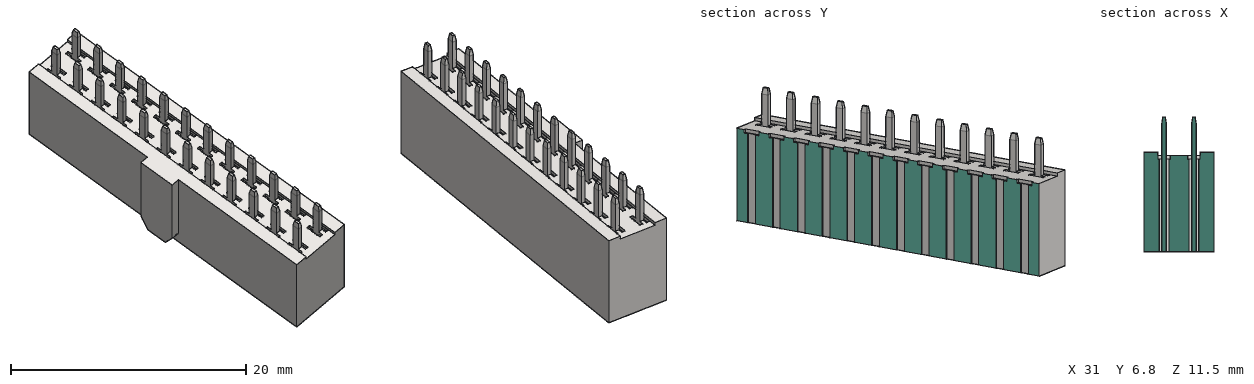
import cadquery as cq

length = 30.98
total_depth = 6.8
total_height = 11.5

housing_depth = 5.98
housing_height = 8.5
channel_width = 3.6
channel_depth = 0.28
channel_floor = housing_height - channel_depth

key_width = 3.62
key_tip_width = 2.05
key_taper_height = 1.2
key_projection = total_depth - housing_depth

pins_per_row = 12
row_count = 2
pitch = 2.55
pin_width = 0.65
pin_thickness = 0.4
pin_tip_width = 0.45
pin_tip_thickness = 0.22
pin_tip_height = 0.55

slot_length = 1.5
slot_depth = 0.3
slot_pair_span = 1.02
slot_width = (slot_pair_span - pin_thickness) / 2
through_length = 0.75
through_width = 0.2


def make_housing():
    """Block with a full-length channel along its top; bottom on Z = 0."""
    block = cq.Workplane("XY").box(length, housing_depth, housing_height, centered=(True, True, False))
    channel = (
        cq.Workplane("XY", origin=(0, 0, channel_floor))
        .box(length, channel_width, channel_depth, centered=(True, True, False))
    )
    return block.cut(channel)


def make_key():
    """Vertical rib whose lower end narrows towards the bottom."""
    half_width = key_width / 2
    half_tip = key_tip_width / 2
    outline = [
        (-half_tip, 0),
        (half_tip, 0),
        (half_width, key_taper_height),
        (half_width, housing_height),
        (-half_width, housing_height),
        (-half_width, key_taper_height),
    ]
    return (
        cq.Workplane("XZ", origin=(0, -housing_depth / 2, 0))
        .polyline(outline)
        .close()
        .extrude(key_projection)
    )


def make_pin():
    """Rectangular pin, full height, with a four-sided tapered tip."""
    shank_top = total_height - pin_tip_height
    shank = cq.Workplane("XY").box(pin_width, pin_thickness, shank_top, centered=(True, True, False))
    tip = (
        cq.Workplane("XY", origin=(0, 0, shank_top))
        .rect(pin_width, pin_thickness)
        .workplane(offset=pin_tip_height)
        .rect(pin_tip_width, pin_tip_thickness)
        .loft(ruled=True)
    )
    return shank.union(tip)


def make_slots():
    """Shallow slot and narrower through opening against both faces of a pin."""
    slots = cq.Workplane("XY")
    for side in (-1, 1):
        slot_y = side * (pin_thickness + slot_width) / 2
        through_y = side * (pin_thickness + through_width) / 2
        slot = (
            cq.Workplane("XY", origin=(0, slot_y, channel_floor - slot_depth))
            .box(slot_length, slot_width, slot_depth, centered=(True, True, False))
        )
        through = (
            cq.Workplane("XY", origin=(0, through_y, 0))
            .box(through_length, through_width, channel_floor, centered=(True, True, False))
        )
        slots = slots.add(slot.union(through))
    return slots.combine()


def at_contacts(feature):
    """Copy of a feature at every contact position."""
    positions = cq.Workplane("XY").rarray(pitch, pitch, pins_per_row, row_count)
    return positions.eachpoint(feature.val())


body = make_housing().union(make_key())
result = body.cut(at_contacts(make_slots())).union(at_contacts(make_pin()))